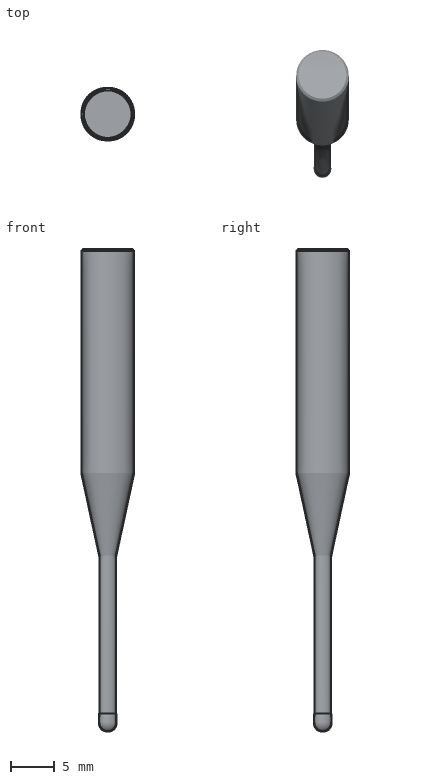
import cadquery as cq
import math

total_length = 55.0
shank_start = 29.4
neck_end = 20.0
head_length = 2.05
land_end = 1.7

shank_diameter = 6.0
shank_radius = shank_diameter / 2
ball_radius = shank_radius / 3
neck_diameter = 1.9
neck_radius = neck_diameter / 2
chamfer = 0.3


def make_head():
    """Ball nose with a short cylindrical land and a back taper down to the neck."""
    arc_offset = ball_radius * math.sqrt(0.5)
    profile = (
        cq.Workplane("XZ")
        .moveTo(0, 0)
        .threePointArc((arc_offset, ball_radius - arc_offset), (ball_radius, ball_radius))
        .lineTo(ball_radius, land_end)
        .lineTo(neck_radius, head_length)
        .lineTo(0, head_length)
        .close()
    )
    return profile.revolve(360, (0, 0, 0), (0, 1, 0))


def make_shank():
    """Slender neck, cone and chamfered cylindrical shank."""
    profile = (
        cq.Workplane("XZ")
        .moveTo(0, head_length)
        .lineTo(neck_radius, head_length)
        .lineTo(neck_radius, neck_end)
        .lineTo(shank_radius, shank_start)
        .lineTo(shank_radius, total_length - chamfer)
        .lineTo(shank_radius - chamfer, total_length)
        .lineTo(0, total_length)
        .close()
    )
    return profile.revolve(360, (0, 0, 0), (0, 1, 0))


head = make_head()
shank = make_shank()

result = cq.Compound.makeCompound([head.val(), shank.val()])